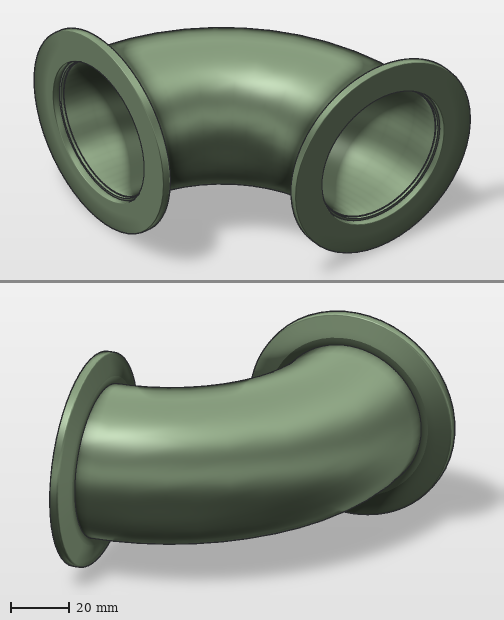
import cadquery as cq

overall = 107.5
flange_diameter = 75.0
flange_thickness = 5.3
hub_diameter = 59.1
rim_height = 3.1
rim_rounding = 0.9
face_rounding = 0.3
recess_diameter = 52.2
recess_depth = 2.6
recess_rounding = 0.3
tube_diameter = 54.0
tube_bore_diameter = 50.0
flange_bore_diameter = 50.6
tube_seat_height = 3.8

flange_radius = flange_diameter / 2
bend_radius = overall - flange_radius - tube_seat_height


def make_flange():
    """Flange about Z, with its sealing face at Z = 0 and its tapered back above it."""
    rim = cq.Workplane("XY").circle(flange_radius).extrude(rim_height)
    back = cq.Solid.makeCone(
        flange_radius,
        hub_diameter / 2,
        flange_thickness - rim_height,
        pnt=cq.Vector(0, 0, rim_height),
    )
    blank = rim.union(cq.Workplane(back))
    blank = blank.edges(cq.selectors.NearestToPointSelector((0, 0, rim_height))).fillet(rim_rounding)
    blank = blank.faces("<Z").edges().fillet(face_rounding)
    bore = cq.Workplane("XY").circle(flange_bore_diameter / 2).extrude(flange_thickness)
    recess = cq.Workplane("XY").circle(recess_diameter / 2).extrude(recess_depth)
    flange = blank.cut(bore).cut(recess)
    recess_mouth = cq.selectors.RadiusNthSelector(0)
    return flange.faces("<Z").edges(recess_mouth).fillet(recess_rounding)


def make_elbow():
    """Quarter-bend tube from the origin, setting off along +Y and turning to +X."""
    return (
        cq.Workplane("XZ")
        .circle(tube_diameter / 2)
        .circle(tube_bore_diameter / 2)
        .revolve(90, (bend_radius, 0, 0), (bend_radius, -1, 0))
    )


elbow = make_elbow()

flange_placements = [
    ((1, 0, 0), -90, (0, -tube_seat_height, 0)),
    ((0, 1, 0), -90, (bend_radius + tube_seat_height, bend_radius, 0)),
]
flanges = []
for axis, angle, face_center in flange_placements:
    flange = make_flange().rotate((0, 0, 0), axis, angle).translate(face_center)
    flanges.append(flange.cut(elbow).val())

result = cq.Compound.makeCompound([elbow.val(), *flanges])